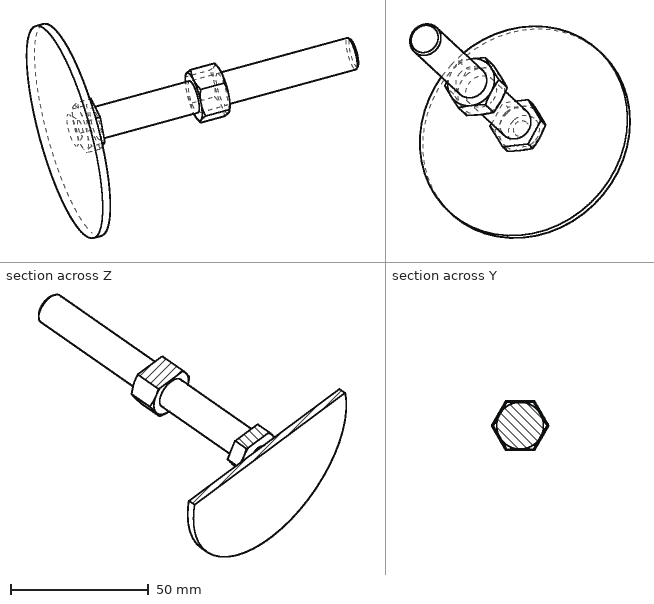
import cadquery as cq
import math


plate_diameter = 80.0
plate_thickness = 3.0

total_length = 112.0
rod_diameter = 12.0
rod_chamfer = 0.8
cone_base_diameter = 12.0
cone_top_diameter = 6.0
cone_height = 3.0
spindle_hex_width = 17.0
spindle_hex_height = 6.0

nut_width = 18.0
nut_height = 10.8
nut_start = 50.0

corner_angle = math.radians(30)

cone_start = plate_thickness
hex_start = cone_start + cone_height
rod_start = hex_start + spindle_hex_height


def plane_at(y):
    """Plane across the axis at height y, with its normal along +Y and its local Y along Z."""
    return cq.Plane(origin=(0, y, 0), xDir=(-1, 0, 0), normal=(0, 1, 0))


def revolve_about_axis(points):
    """Solid turned about the Y axis from (radius, y) points."""
    return cq.Workplane("XY").polyline(points).close().revolve(360, (0, 0, 0), (0, 1, 0))


def hexagon(start, width, height, chamfer_far_end):
    """Hexagonal prism with flats facing +Z and -Z and its corners turned down to the width across flats."""
    flat_radius = width / 2
    corner_radius = flat_radius / math.cos(math.pi / 6)
    chamfer_length = (corner_radius - flat_radius) * math.tan(corner_angle)
    end = start + height

    envelope = [(0, start), (flat_radius, start), (corner_radius, start + chamfer_length)]
    if chamfer_far_end:
        envelope += [(corner_radius, end - chamfer_length), (flat_radius, end)]
    else:
        envelope += [(corner_radius, end)]
    envelope.append((0, end))

    prism = cq.Workplane(plane_at(start)).polygon(6, 2 * corner_radius).extrude(height)
    return prism.intersect(revolve_about_axis(envelope))


def make_plate():
    """Flat round base plate."""
    return cq.Workplane(plane_at(0)).circle(plate_diameter / 2).extrude(plate_thickness)


def make_spindle():
    """Cone standing on the plate, driving hexagon and plain rod with a chamfered free end."""
    rod_radius = rod_diameter / 2
    shaft = revolve_about_axis([
        (0, cone_start),
        (cone_base_diameter / 2, cone_start),
        (cone_top_diameter / 2, hex_start),
        (cone_top_diameter / 2, rod_start),
        (rod_radius, rod_start),
        (rod_radius, total_length - rod_chamfer),
        (rod_radius - rod_chamfer, total_length),
        (0, total_length),
    ])
    return shaft.union(hexagon(hex_start, spindle_hex_width, spindle_hex_height, chamfer_far_end=False))


def make_nut():
    """Lock nut with both ends chamfered, bored to fit the rod."""
    blank = hexagon(nut_start, nut_width, nut_height, chamfer_far_end=True)
    bore = cq.Workplane(plane_at(nut_start)).circle(rod_diameter / 2).extrude(nut_height)
    return blank.cut(bore)


plate = make_plate()
spindle = make_spindle()
nut = make_nut()

result = cq.Compound.makeCompound([plate.val(), spindle.val(), nut.val()])